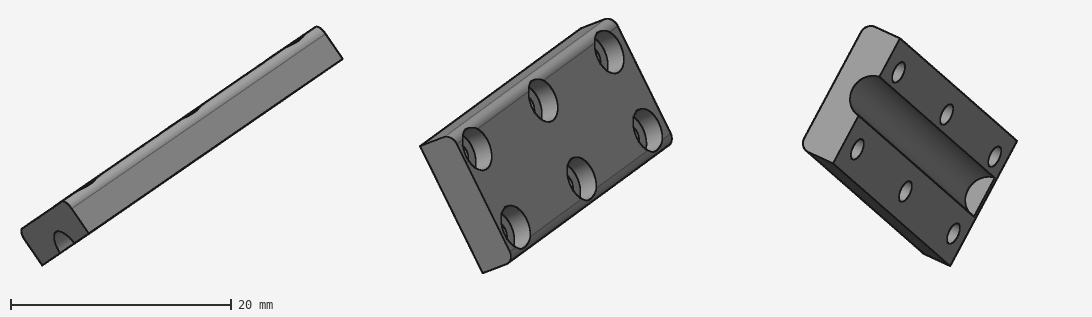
import cadquery as cq

length = 30.5
width = 13.0
thickness = 3.8
tilt = 30.0
edge_radius = 1.0

hole_diameter = 2.0
bore_diameter = 4.1
bore_depth = 1.9
hole_pitch = 12.5
row_pitch = 8.0
hole_shift = 0.25

groove_radius = 2.0
groove_shift = 0.5
groove_offset = 0.18
end_wall = 0.5


def make_plate():
    """Upright plate: outer face at X = 0, back face at X = thickness."""
    plate = cq.Workplane("XY").box(thickness, length, width).translate((thickness / 2, 0, 0))
    return plate.edges("|Y and <X").fillet(edge_radius)


def make_groove():
    """Cylinder with its axis just outside the back face, entering from the -Y end."""
    return (
        cq.Workplane("XZ", origin=(thickness + groove_offset, -length / 2, groove_shift))
        .circle(groove_radius)
        .extrude(-(length - end_wall))
    )


def make_screw_hole(y, z):
    """Through hole with a counterbore sunk into the outer face."""
    face = cq.Workplane("YZ", origin=(0, y, z))
    hole = face.circle(hole_diameter / 2).extrude(thickness)
    bore = face.circle(bore_diameter / 2).extrude(bore_depth)
    return hole.union(bore)


plate = make_plate().cut(make_groove())
for column in (-1, 0, 1):
    for side in (-1, 1):
        plate = plate.cut(make_screw_hole(hole_shift + column * hole_pitch, side * row_pitch / 2))

result = plate.rotate((0, 0, 0), (0, 1, 0), tilt)